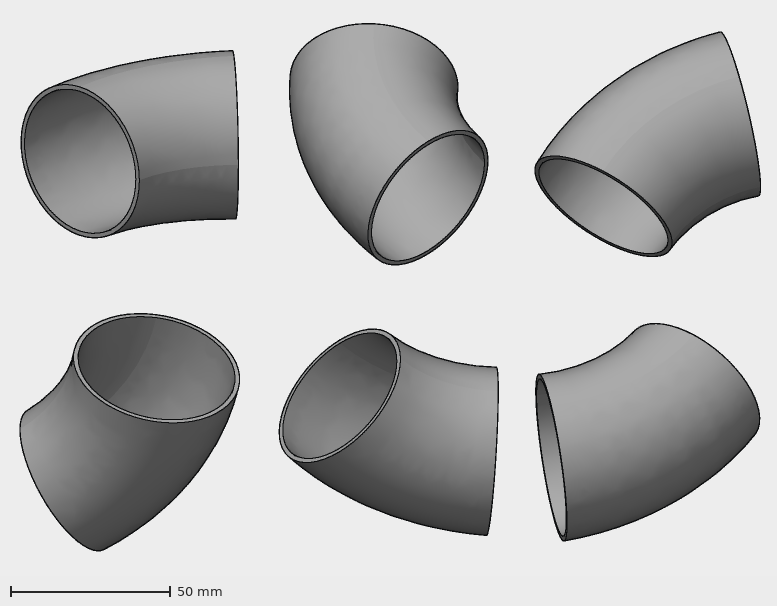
import cadquery as cq
import math

bend_radius = 70.0
bend_angle = 45.0
inlet_diameter = 50.0
outlet_diameter = 53.0
wall = 1.5


def bend_point(angle):
    """Point on the bend's centre line, which starts at the origin along +Y and turns towards +X."""
    turn = math.radians(angle)
    return cq.Vector(bend_radius * (1 - math.cos(turn)), bend_radius * math.sin(turn), 0)


def round_section(diameter, angle):
    """Circle square to the centre line at the given angle along the bend."""
    turn = math.radians(angle)
    direction = cq.Vector(math.sin(turn), math.cos(turn), 0)
    return cq.Wire.makeCircle(diameter / 2, bend_point(angle), direction)


def tapered_bend(start_diameter, end_diameter):
    """Solid elbow whose round section grows evenly along the bend."""
    centre_line = cq.Edge.makeThreePointArc(
        bend_point(0), bend_point(bend_angle / 2), bend_point(bend_angle)
    )
    sections = [round_section(start_diameter, 0), round_section(end_diameter, bend_angle)]
    return cq.Workplane(cq.Solid.sweep_multi(sections, centre_line))


outside = tapered_bend(inlet_diameter, outlet_diameter)
bore = tapered_bend(inlet_diameter - 2 * wall, outlet_diameter - 2 * wall)
result = outside.cut(bore)